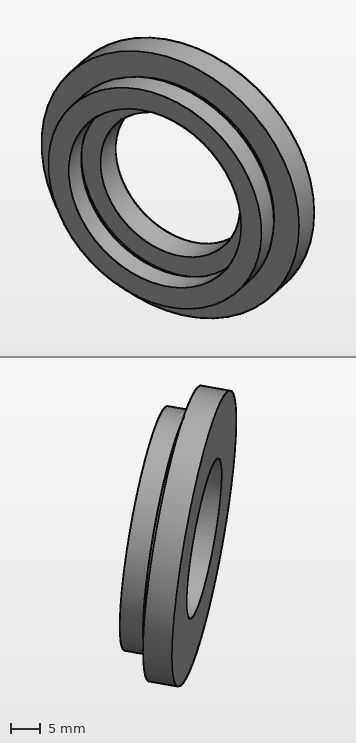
import cadquery as cq

flange_diameter = 50.8
collar_diameter = 42.0
neck_diameter = 41.0
recess_diameter = 34.0
undercut_diameter = 35.0
bore_diameter = 27.5

total_width = 10.0
collar_width = 4.0
flange_width = total_width / 2
neck_width = total_width - flange_width - collar_width


def disc(diameter, start, width):
    """Solid disc on the Y axis, running from start towards +Y."""
    plane = cq.Workplane("XZ", origin=(0, start, 0))
    return plane.circle(diameter / 2).extrude(-width)


collar_front = -total_width / 2
neck_front = collar_front + collar_width
flange_front = neck_front + neck_width
collar = disc(collar_diameter, collar_front, collar_width)
neck = disc(neck_diameter, neck_front, neck_width)
flange = disc(flange_diameter, flange_front, flange_width)
body = collar.union(neck).union(flange)

recess = disc(recess_diameter, collar_front, collar_width)
undercut = disc(undercut_diameter, neck_front, neck_width)
bore = disc(bore_diameter, collar_front, total_width)
result = body.cut(recess).cut(undercut).cut(bore)